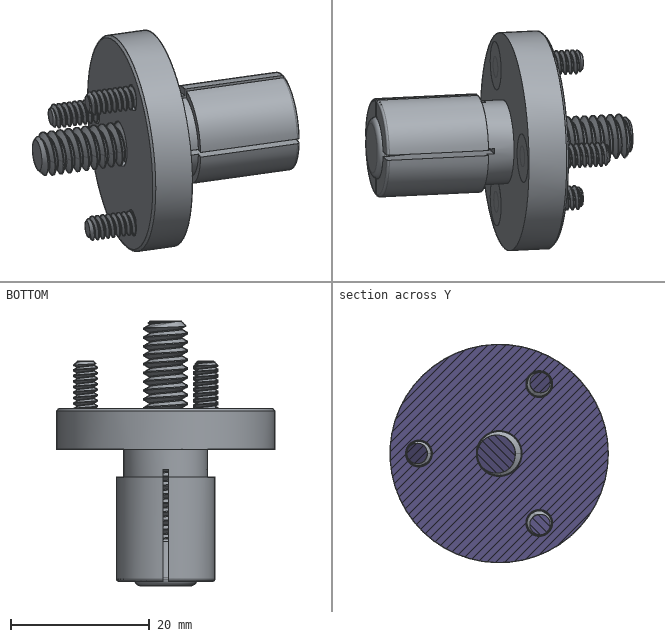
import cadquery as cq
import math


inch = 25.4

flange_diameter = 31.47
flange_thickness = 5.9
flange_chamfer = 0.35
neck_diameter = 12.1
neck_length = 4.0
collet_diameter = 14.2
collet_length = 15.0
collet_edge_fillet = 0.35
slot_width = 0.75
slot_length = 16.1

neck_end = -flange_thickness - neck_length
collet_end = neck_end - collet_length

flank_half_angle = math.radians(30)
flat_fraction = 1 / 8

screw_length = 1.5 * inch
screw_head_above_collet = 0.65
screw_diameter = 0.25 * inch
screw_pitch = inch / 20
screw_tip_diameter = 4.5
screw_hole_diameter = 6.53
screw_root_height = 11.46
head_diameter = 8.96
head_edge_fillet = 0.9
head_rim_height = 1.17
flare_length = 5.2
flare_end_diameter = 6.86
flare_hollow = 0.07
flare_undercut_diameter = 5.9

head_top = collet_end - screw_head_above_collet
head_rim_end = head_top + head_rim_height
flare_end = head_rim_end + flare_length
screw_tip = head_top + screw_length

bolt_count = 3
bolt_circle_radius = 11.55
bolt_length = 0.5 * inch
bolt_diameter = 3.505
bolt_threads_per_inch = 32
bolt_pitch = inch / bolt_threads_per_inch
bolt_tip_diameter = 2.3
bolt_hole_diameter = 3.8
bolt_root_height = 6.27
bolt_head_diameter = 7.0
bolt_head_half_angle = math.radians(41)

bolt_head_top = -flange_thickness
bolt_tip = bolt_head_top + bolt_length


def cylinder(diameter, start, end):
    """Cylinder on the local Z axis from start to end."""
    return cq.Workplane("XY").workplane(offset=start).circle(diameter / 2).extrude(end - start)


def cone(start_diameter, end_diameter, start, end):
    """Truncated cone on the local Z axis from start to end."""
    profile = (
        cq.Workplane("XZ")
        .moveTo(0, start)
        .lineTo(start_diameter / 2, start)
        .lineTo(end_diameter / 2, end)
        .lineTo(0, end)
        .close()
    )
    return profile.revolve(360, (0, 0, 0), (0, 1, 0))


def thread_solid(diameter, pitch, start, turns):
    """Right-hand threaded rod of whole turns on the local Z axis, with helical steps as its ends."""
    flat_half_width = pitch * flat_fraction / 2
    flank_width = pitch * (1 - 2 * flat_fraction) / 2
    crest_radius = diameter / 2
    root_radius = crest_radius - flank_width / math.tan(flank_half_angle)

    profile = [
        (root_radius, -flat_half_width),
        (root_radius, flat_half_width),
        (crest_radius, pitch / 2 - flat_half_width),
        (crest_radius, pitch / 2 + flat_half_width),
        (root_radius, pitch - flat_half_width),
    ]

    def helix_edge(turn, point):
        radius, height = point
        base = cq.Vector(0, 0, start + turn * pitch + height)
        return cq.Wire.makeHelix(pitch, pitch, radius, base).Edges()[0]

    def end_faces(turn):
        """Helical ramp from the root to the axis, and the flat step that joins its two ends."""
        base = start + turn * pitch
        axis_points = [cq.Vector(0, 0, base + profile[i][1]) for i in (-1, 0)]
        step_points = axis_points + [cq.Vector(radius, 0, base + height) for radius, height in profile]
        ramp = cq.Face.makeRuledSurface(helix_edge(turn, profile[0]), cq.Edge.makeLine(*reversed(axis_points)))
        step = cq.Face.makeFromWires(cq.Wire.makePolygon(step_points, close=True))
        return [ramp, step]

    faces = end_faces(0) + end_faces(turns)
    for turn in range(turns):
        for lower, upper in zip(profile, profile[1:]):
            faces.append(cq.Face.makeRuledSurface(helix_edge(turn, lower), helix_edge(turn, upper)))
    return cq.Workplane(cq.Solid.makeSolid(cq.Shell.makeShell(faces)))


def threaded_shank(diameter, pitch, tip_diameter, start, tip, root_height):
    """Threaded rod from start to tip, with a 45 degree chamfer at the tip.

    root_height is a height at which the thread root meets the local +X side.
    """
    turns_below = math.ceil((root_height - start) / pitch) + 1
    turns_above = math.ceil((tip - root_height) / pitch) + 1
    thread = thread_solid(diameter, pitch, root_height - turns_below * pitch, turns_below + turns_above)
    envelope_diameter = diameter + pitch
    envelope = cylinder(envelope_diameter, start, tip)
    envelope = envelope.faces(">Z").chamfer((envelope_diameter - tip_diameter) / 2)
    return thread.intersect(envelope, clean=False)


def flared_head():
    """Head of the centre screw: a short rim, a slightly hollow flare and a 45 degree undercut."""
    rim_radius = head_diameter / 2
    flare_end_radius = flare_end_diameter / 2
    undercut_radius = flare_undercut_diameter / 2
    undercut_end = flare_end + flare_end_radius - undercut_radius
    flare_middle_radius = (rim_radius + flare_end_radius) / 2 - flare_hollow
    profile = (
        cq.Workplane("XZ")
        .moveTo(0, head_top)
        .lineTo(rim_radius, head_top)
        .lineTo(rim_radius, head_rim_end)
        .threePointArc((flare_middle_radius, (head_rim_end + flare_end) / 2), (flare_end_radius, flare_end))
        .lineTo(undercut_radius, undercut_end)
        .lineTo(0, undercut_end)
        .close()
    )
    return profile.revolve(360, (0, 0, 0), (0, 1, 0))


def bolt_head():
    """Flat countersunk head, flush with the back of the flange."""
    head_height = (bolt_head_diameter - bolt_diameter) / 2 / math.tan(bolt_head_half_angle)
    return cone(bolt_head_diameter, bolt_diameter, bolt_head_top, bolt_head_top + head_height)


def around_bolt_circle(shape):
    """Copies of a shape on the local Z axis, moved and turned to each place on the bolt circle."""
    first = shape.translate((-bolt_circle_radius, 0, 0))
    step = 360 / bolt_count
    return [first.rotate((0, 0, 0), (0, 0, 1), step * index) for index in range(bolt_count)]


def make_collet():
    """Flange, neck and slotted collet in one piece."""
    flange = cylinder(flange_diameter, -flange_thickness, 0).faces(">Z").chamfer(flange_chamfer)
    neck = cylinder(neck_diameter, neck_end, -flange_thickness)
    sleeve = cylinder(collet_diameter, collet_end, neck_end).faces("<Z").edges().fillet(collet_edge_fillet)
    body = flange.union(neck).union(sleeve)

    body = body.cut(cylinder(screw_hole_diameter, collet_end, 0)).cut(flared_head())

    slot_center = collet_end + slot_length / 2
    for angle in (0, 90):
        slot = cq.Workplane("XY").box(collet_diameter, slot_width, slot_length)
        body = body.cut(slot.rotate((0, 0, 0), (0, 0, 1), angle).translate((0, 0, slot_center)))

    bolt_hole = cylinder(bolt_hole_diameter, -flange_thickness, 0).union(bolt_head())
    for hole in around_bolt_circle(bolt_hole):
        body = body.cut(hole)
    return body


def make_centre_screw():
    """Threaded screw with the flared head that spreads the collet."""
    head = flared_head().faces("<Z").edges().fillet(head_edge_fillet)
    shank = threaded_shank(
        screw_diameter, screw_pitch, screw_tip_diameter, flare_end, screw_tip, screw_root_height
    )
    return head.union(shank, clean=False)


def make_bolt():
    """Flat-head flange screw on the local Z axis."""
    shank = threaded_shank(
        bolt_diameter, bolt_pitch, bolt_tip_diameter, bolt_head_top, bolt_tip, bolt_root_height
    )
    return shank.union(bolt_head(), clean=False)


def stand_along_y(body):
    """The single solid of a body, turned from the local +Z axis to the world -Y direction."""
    return body.solids().val().rotate(cq.Vector(0, 0, 0), cq.Vector(1, 0, 0), 90)


collet = stand_along_y(make_collet())
centre_screw = stand_along_y(make_centre_screw())
bolts = [stand_along_y(bolt) for bolt in around_bolt_circle(make_bolt())]

result = cq.Compound.makeCompound([collet, centre_screw, *bolts])